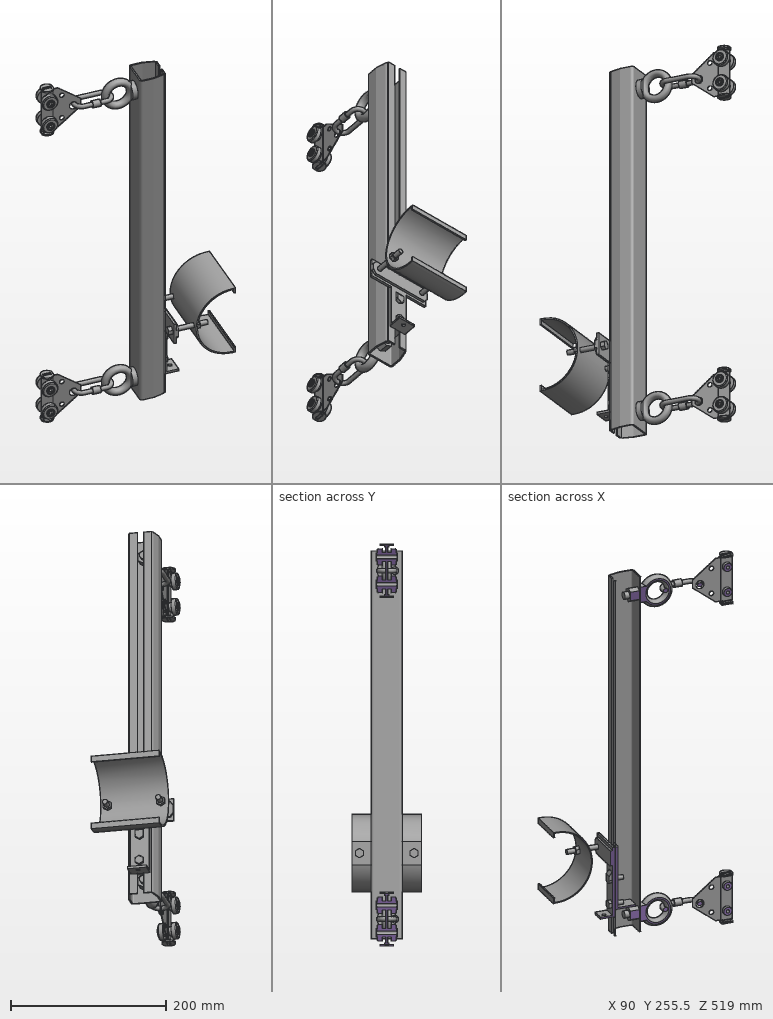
import cadquery as cq
import math


rail_height = 500.0
rail_width = 40.5
rail_depth = 37.0
rail_wall = 2.0
rail_back_width = 33.0
rail_bend_y = 18.5
rail_lip_bend = 3.5
rail_lip_y = rail_depth - rail_wall
rail_lip_corner_width = 29.0
rail_corner_radius = 3.5
slot_width = 8.5

hitch_z = 224.5
shank_diameter = 10.0
shank_end_y = 22.0
eye_nut_end_y = 15.0
eye_nut_diameter = 19.0
collar_diameter = 25.0
collar_length = 7.5
ring_center_y = -23.5
ring_radius = 17.4
ring_wire_height = 10.0
ring_wire_width = 12.0

link_wire = 6.0
link_half_width = 10.5
link_back_y = -30.0
link_front_y = -87.5
link_bend_back_y = link_back_y - link_wire / 2 - link_half_width
link_bend_front_y = link_front_y + link_wire / 2 + link_half_width
sleeve_diameter = 10.0
sleeve_length = 11.0
sleeve_start_y = -52.5

plate_thickness = 1.0
plate_nose_y = -74.5
plate_nose_half_height = 5.5
plate_shoulder_y = -107.0
plate_half_height = 30.5
link_hole_diameter = 11.0
link_hole_y = -85.0
link_hole_drop = 2.5
small_hole_diameter = 6.0
small_hole_y = -101.0
small_hole_z = 17.5
wheel_y = -122.0
wheel_z = 17.5
bar_width = 16.0
bar_thickness = 2.5
wheel_diameter = 22.0
wheel_thickness = 7.0
wheel_chamfer = 1.3
wheel_inner_x = 5.5
spacer_diameter = 12.0
hub_diameter = 11.0
hub_end_x = 14.0
hub_recess_diameter = 8.0
hub_recess_depth = 1.0
axle_bore = 4.0
flange_diameter = 17.5
flange_thickness = 2.0
flange_end_z = 35.0
neck_width = 11.0
neck_thickness = 6.0
flange_groove_width = 4.0
flange_groove_depth = 1.5

sheet = 3.0
bracket_width = 90.0
bracket_top_z = -124.5
cross_height = 30.0
leg_width = 25.0
leg_bottom_z = -223.0
foot_end_y = 56.5
foot_hole_diameter = 5.0
foot_hole_y = 49.5
strip_height = 22.0
strip_chamfer_x = 4.5
strip_chamfer_z = 5.5
cradle_z = bracket_top_z - cross_height / 2
plate_back_y = rail_depth + sheet
strip_back_y = plate_back_y + sheet
inner_leg_y = rail_lip_y - sheet
inner_foot_end_y = 7.5
inner_foot_z = -213.0

clamp_bolt_diameter = 6.0
clamp_bolt_z = (-171.0, -206.5)
clamp_bolt_end_y = 23.0
hex_diameter = 12.0
clamp_head_height = 4.0
wedge_length = 12.0
wedge_width = 10.5

cradle_bolt_diameter = 7.0
cradle_bolt_x = 35.5
cradle_bolt_end_y = 86.5
cradle_head_height = 5.5
cradle_nut_y = 70.0
cradle_nut_height = 5.0

cradle_radius = 50.5
cradle_wall = 2.0
cradle_center_y = 118.0
cradle_edge_y = 122.5
cradle_lip = 8.0


def box(x_range, y_range, z_range):
    """Box between the given limits."""
    size = [high - low for low, high in (x_range, y_range, z_range)]
    corner = cq.Vector(x_range[0], y_range[0], z_range[0])
    return cq.Workplane(cq.Solid.makeBox(*size, corner))


def y_rod(diameter, y_start, y_end, x=0, z=0):
    """Round rod along Y."""
    return cq.Workplane(
        cq.Solid.makeCylinder(diameter / 2, y_end - y_start, cq.Vector(x, y_start, z), cq.Vector(0, 1, 0))
    )


def x_rod(diameter, x_start, x_end, y, z):
    """Round rod along X."""
    return cq.Workplane(
        cq.Solid.makeCylinder(diameter / 2, x_end - x_start, cq.Vector(x_start, y, z), cq.Vector(1, 0, 0))
    )


def y_hex(diameter, y_start, y_end, x=0, z=0):
    """Hexagon along Y, given across its corners, with corners pointing up and down."""
    corners = [
        (x + diameter / 2 * math.sin(math.radians(angle)), z + diameter / 2 * math.cos(math.radians(angle)))
        for angle in range(0, 360, 60)
    ]
    return cq.Workplane("XZ", origin=(0, y_start, 0)).polyline(corners).close().extrude(y_start - y_end)


def mirrored_in_x(half_outline):
    """Full outline made from its -X half and the mirror image of that half."""
    return half_outline + [(-x, y) for x, y in reversed(half_outline)]


def make_rail():
    wall = rail_wall
    outer = [
        (-slot_width / 2, rail_depth),
        (-rail_lip_corner_width / 2, rail_depth),
        (-rail_back_width / 2, rail_depth - rail_lip_bend),
        (-rail_width / 2, rail_bend_y),
        (-rail_width / 2, 0),
    ]
    inner = [
        (-rail_width / 2 + wall, wall),
        (-rail_width / 2 + wall, rail_bend_y),
        (-rail_back_width / 2 + wall, rail_lip_y),
        (-slot_width / 2, rail_lip_y),
    ]
    shell = cq.Workplane("XY").polyline(mirrored_in_x(outer)).close().extrude(rail_height)
    shell = shell.edges("|Z and <Y").fillet(rail_corner_radius)
    cavity = cq.Workplane("XY").polyline(mirrored_in_x(inner)).close().extrude(rail_height)
    cavity = cavity.edges("|Z and <Y").fillet(rail_corner_radius - wall)
    slot = box((-slot_width / 2, slot_width / 2), (wall, rail_depth), (0, rail_height))
    rail = shell.cut(cavity).cut(slot).translate((0, 0, -rail_height / 2))
    for z in (-hitch_z, hitch_z):
        rail = rail.cut(y_rod(shank_diameter, 0, wall, z=z))
    return rail


def make_eye():
    ring = (
        cq.Workplane("XY", origin=(0, ring_center_y, 0))
        .center(0, ring_radius)
        .ellipse(ring_wire_width / 2, ring_wire_height / 2)
        .revolve(360, (0, -ring_radius, 0), (1, -ring_radius, 0))
    )
    eye = y_rod(collar_diameter, -collar_length, 0)
    eye = eye.union(y_rod(shank_diameter, -collar_length, shank_end_y))
    eye = eye.union(y_hex(eye_nut_diameter, rail_wall, eye_nut_end_y))
    return eye.union(ring)


def make_link():
    path = (
        cq.Workplane("XY")
        .moveTo(link_half_width, link_bend_front_y)
        .lineTo(link_half_width, link_bend_back_y)
        .threePointArc((0, link_bend_back_y + link_half_width), (-link_half_width, link_bend_back_y))
        .lineTo(-link_half_width, link_bend_front_y)
        .threePointArc((0, link_bend_front_y - link_half_width), (link_half_width, link_bend_front_y))
        .close()
    )
    start = cq.Workplane("XZ", origin=(link_half_width, link_bend_front_y, 0))
    link = start.circle(link_wire / 2).sweep(path)
    sleeve = y_rod(sleeve_diameter, sleeve_start_y - sleeve_length, sleeve_start_y, x=link_half_width)
    return link.union(sleeve)


def make_trolley_plate():
    outline = [
        (plate_nose_y, plate_nose_half_height),
        (plate_shoulder_y, plate_half_height),
        (wheel_y, plate_half_height),
        (wheel_y, -plate_half_height),
        (plate_shoulder_y, -plate_half_height),
        (plate_nose_y, -plate_nose_half_height),
    ]
    half = plate_thickness / 2
    plate = cq.Workplane("YZ", origin=(-half, 0, 0)).polyline(outline).close().extrude(plate_thickness)
    plate = plate.cut(x_rod(link_hole_diameter, -half, half, link_hole_y, -link_hole_drop))
    for z in (-small_hole_z, small_hole_z):
        plate = plate.cut(x_rod(small_hole_diameter, -half, half, small_hole_y, z))
    return plate


def make_carrier_bar():
    half_x = bar_thickness / 2
    y_range = (wheel_y - bar_width / 2, wheel_y + bar_width / 2)
    neck_y_range = (wheel_y - neck_width / 2, wheel_y + neck_width / 2)
    bar = box((-half_x, half_x), y_range, (-plate_half_height, plate_half_height))
    neck = box((-neck_thickness / 2, neck_thickness / 2), neck_y_range, (plate_half_height, flange_end_z))
    bar = bar.union(neck).union(neck.mirror("XY"))
    flange_sides = box((-flange_diameter, flange_diameter), y_range, (-flange_end_z, flange_end_z))
    for bottom_z in (-flange_end_z, flange_end_z - flange_thickness):
        flange = (
            cq.Workplane("XY", origin=(0, wheel_y, bottom_z))
            .circle(flange_diameter / 2)
            .extrude(flange_thickness)
            .intersect(flange_sides)
        )
        bar = bar.union(flange)
    groove = box(
        (-flange_groove_width / 2, flange_groove_width / 2),
        neck_y_range,
        (flange_end_z - flange_groove_depth, flange_end_z),
    )
    return bar.cut(groove).cut(groove.mirror("XY"))


def make_wheel_pair(z):
    wheel = x_rod(wheel_diameter, wheel_inner_x, wheel_inner_x + wheel_thickness, wheel_y, z)
    wheel = wheel.faces(">X").chamfer(wheel_chamfer)
    pair = x_rod(spacer_diameter, -wheel_inner_x, wheel_inner_x, wheel_y, z)
    pair = pair.union(wheel).union(wheel.mirror("YZ"))
    pair = pair.union(x_rod(hub_diameter, -hub_end_x, hub_end_x, wheel_y, z))
    recess = x_rod(hub_recess_diameter, hub_end_x - hub_recess_depth, hub_end_x, wheel_y, z)
    return pair.cut(recess).cut(recess.mirror("YZ"))


def make_hitch(z):
    hitch = make_eye().union(make_link()).union(make_trolley_plate()).union(make_carrier_bar())
    for axle_z in (-wheel_z, wheel_z):
        hitch = hitch.union(make_wheel_pair(axle_z))
        hitch = hitch.cut(x_rod(axle_bore, -hub_end_x, hub_end_x, wheel_y, axle_z))
    return hitch.translate((0, 0, z))


def make_bracket_plates():
    half_width = bracket_width / 2
    half_leg = leg_width / 2
    leg_x = (-half_leg, half_leg)
    cross_z = (bracket_top_z - cross_height, bracket_top_z)
    plates = box((-half_width, half_width), (rail_depth, plate_back_y), cross_z)
    plates = plates.union(box(leg_x, (rail_depth, plate_back_y), (leg_bottom_z, bracket_top_z)))
    foot = box(leg_x, (rail_depth, foot_end_y), (leg_bottom_z, leg_bottom_z + sheet))
    foot_hole = (
        cq.Workplane("XY", origin=(0, foot_hole_y, leg_bottom_z)).circle(foot_hole_diameter / 2).extrude(sheet)
    )
    strip_z = (cradle_z - strip_height / 2, cradle_z + strip_height / 2)
    strip = box((-half_width, half_width), (plate_back_y, strip_back_y), strip_z)
    strip = strip.edges("|Y").chamfer(strip_chamfer_z, strip_chamfer_x)
    inner_leg = box(leg_x, (inner_leg_y, rail_lip_y), (inner_foot_z, bracket_top_z))
    inner_foot = box(leg_x, (inner_foot_end_y, rail_lip_y), (inner_foot_z, inner_foot_z + sheet))
    return plates.union(foot.cut(foot_hole)).union(strip).union(inner_leg).union(inner_foot)


def make_clamp_bolts():
    head_end_y = plate_back_y + clamp_head_height
    bolts = cq.Workplane("XY")
    for z in clamp_bolt_z:
        bolts = bolts.add(y_rod(clamp_bolt_diameter, clamp_bolt_end_y, head_end_y, z=z))
        bolts = bolts.add(y_hex(hex_diameter, plate_back_y, head_end_y, z=z))
    wedge_z = clamp_bolt_z[0]
    wedge = (
        cq.Workplane("YZ", origin=(-wedge_width / 2, 0, 0))
        .polyline(
            [
                (plate_back_y, wedge_z),
                (plate_back_y, wedge_z + wedge_length),
                (head_end_y, wedge_z + wedge_length / 2),
                (head_end_y, wedge_z),
            ]
        )
        .close()
        .extrude(wedge_width)
    )
    return bolts.add(wedge)


def make_cradle_bolts():
    bolts = cq.Workplane("XY")
    for x in (-cradle_bolt_x, cradle_bolt_x):
        head_y = rail_depth - cradle_head_height
        nut_end_y = cradle_nut_y + cradle_nut_height
        bolts = bolts.add(y_rod(cradle_bolt_diameter, head_y, cradle_bolt_end_y, x, cradle_z))
        bolts = bolts.add(y_hex(hex_diameter, head_y, rail_depth, x, cradle_z))
        bolts = bolts.add(y_hex(hex_diameter, cradle_nut_y, nut_end_y, x, cradle_z))
    return bolts


def make_bracket():
    bracket = make_bracket_plates()
    for piece in make_clamp_bolts().vals() + make_cradle_bolts().vals():
        bracket = bracket.union(cq.Workplane(piece))
    return bracket


def make_cradle():
    inner_radius = cradle_radius - cradle_wall
    lip_end = cradle_radius - cradle_lip
    lip_y = cradle_edge_y - cradle_wall
    outline = (
        cq.Workplane("YZ", origin=(-bracket_width / 2, 0, 0))
        .moveTo(cradle_edge_y, lip_end)
        .lineTo(cradle_edge_y, cradle_radius)
        .lineTo(cradle_center_y, cradle_radius)
        .threePointArc((cradle_center_y - cradle_radius, 0), (cradle_center_y, -cradle_radius))
        .lineTo(cradle_edge_y, -cradle_radius)
        .lineTo(cradle_edge_y, -lip_end)
        .lineTo(lip_y, -lip_end)
        .lineTo(lip_y, -inner_radius)
        .lineTo(cradle_center_y, -inner_radius)
        .threePointArc((cradle_center_y - inner_radius, 0), (cradle_center_y, inner_radius))
        .lineTo(lip_y, inner_radius)
        .lineTo(lip_y, lip_end)
        .close()
    )
    cradle = outline.extrude(bracket_width).translate((0, 0, cradle_z))
    for x in (-cradle_bolt_x, cradle_bolt_x):
        cradle = cradle.cut(y_rod(cradle_bolt_diameter, strip_back_y, cradle_bolt_end_y, x, cradle_z))
    return cradle


rail = make_rail()
bracket = make_bracket()
cradle = make_cradle()
hitches = [make_hitch(z) for z in (-hitch_z, hitch_z)]

result = cq.Compound.makeCompound(
    [rail.val(), bracket.val(), cradle.val(), *[hitch.val() for hitch in hitches]]
)